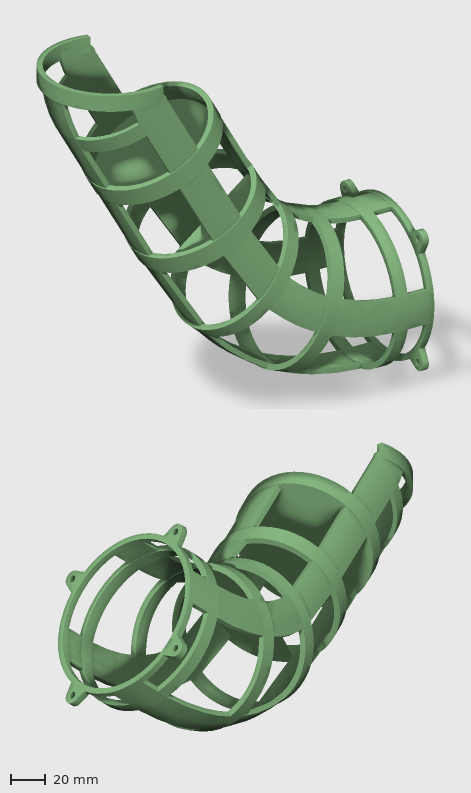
import cadquery as cq
import math

BASE_RADIUS = 50.3
LOWER_RADIUS = 48.5
UPPER_RADIUS = 44.4
NECK_RADIUS = 42.3
HOOP_THICKNESS = 3.5
BASE_STRIP_RADIUS = 50.375
TOP_STRIP_DROP = 0.4
LOWER_STRIP_RADIUS = 48.2
UPPER_STRIP_RADIUS = 43.8
NECK_STRIP_RADIUS = 41.7
STRIP_THICKNESS = 3.0
STRIP_WIDTH = 21.8
COLLAR_STRIP_WIDTH = 20.6

FLANGE_THICKNESS = 4.3
LUG_RADIUS = 5.2
LUG_PITCH_RADIUS = 55.5
LUG_ROOT_WIDTH = 15.0
LUG_HOLE_DIAMETER = 4.2
LUG_ANGLES = (45, 135, 225, 315)

NECK_TILT = 60.0
FIRST_HOOP_WIDTH = 8.0
FIRST_HOOP_END = 25.3
BEND_HOOP_WIDTH = 9.6
NECK_HOOP_WIDTH = 12.4
HALF_HOOP_WIDTH = 10.0
HALF_HOOP_RADIUS = 41.4
HALF_HOOP_THICKNESS = 2.6
HALF_HOOP_TRIM = -9.0
NECK_HOOP_SPACING = 58.3
HALF_HOOP_OFFSET = 43.5
DISC_THICKNESS = 1.0

COLLAR_HEIGHT = 10.0
COLLAR_TOP = 181.515
COLLAR_FRONT = 231.13


def along_axis(station, distance):
    """Station moved along its own axis, with the same tilt and radii."""
    reach, height, tilt, *radii = station
    angle = math.radians(tilt)
    return (reach + distance * math.cos(angle), height + distance * math.sin(angle), tilt, *radii)


def midway(first, second):
    """Station halfway between two others."""
    return tuple((a + b) / 2 for a, b in zip(first, second))


BASE = (0.0, 0.0, 0.0, BASE_RADIUS, BASE_STRIP_RADIUS)
BEND_LOWER = (68.8, 9.3, NECK_TILT / 3, LOWER_RADIUS, LOWER_STRIP_RADIUS)
BEND_UPPER = (104.2, 33.8, 2 * NECK_TILT / 3, UPPER_RADIUS, UPPER_STRIP_RADIUS)
NECK_START = (131.4, 73.8, NECK_TILT, NECK_RADIUS, NECK_STRIP_RADIUS)
NECK_DISC = along_axis(NECK_START, NECK_HOOP_SPACING)
NECK_HALF = along_axis(NECK_DISC, HALF_HOOP_OFFSET)
COLLAR = (
    COLLAR_FRONT - NECK_RADIUS,
    COLLAR_TOP - COLLAR_HEIGHT / 2,
    90.0,
    NECK_RADIUS,
    NECK_STRIP_RADIUS,
)
NECK_END = along_axis(NECK_HALF, HALF_HOOP_WIDTH / 2)
COLLAR_TURN = midway(NECK_END, COLLAR)

RIGHT, TOP, LEFT, BOTTOM = 0, 90, 180, 270


def raise_strip(station, rise):
    """Same station with the strip surface moved away from the axis."""
    *frame, strip_radius = station
    return (*frame, strip_radius + rise)


def section_plane(station):
    """Plane square to the axis, with local x along X and local y on the top side."""
    reach, height, tilt, *_ = station
    angle = math.radians(tilt)
    return cq.Plane(
        origin=(0, -reach, height),
        xDir=(1, 0, 0),
        normal=(0, -math.cos(angle), math.sin(angle)),
    )


def ring(station, radius, thickness, width):
    """Plain ring of the given width, centred on the station."""
    lower_end = section_plane(along_axis(station, -width / 2))
    return cq.Workplane(lower_end).circle(radius).circle(radius - thickness).extrude(width)


def hoop(station, width):
    """Full-thickness ring at a station's own hoop radius."""
    _, _, _, radius, _ = station
    return ring(station, radius, HOOP_THICKNESS, width)


def strip_section(station, direction, width):
    """Cross-section of a strip: a ring sector with parallel sides."""
    _, _, _, _, outer = station
    inner = outer - STRIP_THICKNESS
    half = width / 2
    outer_side = math.sqrt(outer ** 2 - half ** 2)
    inner_side = math.sqrt(inner ** 2 - half ** 2)
    sketch = (
        cq.Workplane()
        .moveTo(inner_side, -half)
        .lineTo(outer_side, -half)
        .threePointArc((outer, 0), (outer_side, half))
        .lineTo(inner_side, half)
        .threePointArc((inner, 0), (inner_side, -half))
        .close()
        .wire()
        .val()
    )
    turned = sketch.rotate(cq.Vector(0, 0, 0), cq.Vector(0, 0, 1), direction)
    return turned.moved(cq.Location(section_plane(station)))


def strip(stations, direction, end_width=STRIP_WIDTH):
    """Strip lofted through the stations; only the last may differ in width."""
    widths = [STRIP_WIDTH] * (len(stations) - 1) + [end_width]
    wires = [strip_section(s, direction, w) for s, w in zip(stations, widths)]
    return cq.Workplane(cq.Solid.makeLoft(wires))


def flange():
    """Base ring with four tapered screw lugs."""
    ring_plane = section_plane(BASE)
    lug_root = BASE_RADIUS - HOOP_THICKNESS / 2
    slope = math.asin((LUG_ROOT_WIDTH / 2 - LUG_RADIUS) / (LUG_PITCH_RADIUS - lug_root))
    tangent_x = LUG_PITCH_RADIUS + LUG_RADIUS * math.sin(slope)
    tangent_y = LUG_RADIUS * math.cos(slope)
    mid_thickness = along_axis(BASE, FLANGE_THICKNESS / 2)
    body = hoop(mid_thickness, FLANGE_THICKNESS)
    for turn in LUG_ANGLES:
        lug_plane = ring_plane.rotated((0, 0, turn))
        lug = (
            cq.Workplane(lug_plane)
            .moveTo(lug_root, -LUG_ROOT_WIDTH / 2)
            .lineTo(tangent_x, -tangent_y)
            .threePointArc((LUG_PITCH_RADIUS + LUG_RADIUS, 0), (tangent_x, tangent_y))
            .lineTo(lug_root, LUG_ROOT_WIDTH / 2)
            .close()
            .moveTo(LUG_PITCH_RADIUS, 0)
            .circle(LUG_HOLE_DIAMETER / 2)
            .extrude(FLANGE_THICKNESS)
        )
        body = body.union(lug)
    return body


def disc():
    """Plate that closes the lower end of the disc hoop."""
    lower_end = along_axis(NECK_DISC, -NECK_HOOP_WIDTH / 2)
    radius = NECK_RADIUS - HOOP_THICKNESS / 2
    return cq.Workplane(section_plane(lower_end)).circle(radius).extrude(DISC_THICKNESS)


def half_hoop():
    """Lower half of a hoop, running between the two side strips."""
    size = 2 * NECK_RADIUS
    lower_side = (
        cq.Workplane(section_plane(NECK_HALF))
        .center(0, HALF_HOOP_TRIM - size / 2)
        .rect(size, size)
        .extrude(HALF_HOOP_WIDTH, both=True)
    )
    full_hoop = ring(NECK_HALF, HALF_HOOP_RADIUS, HALF_HOOP_THICKNESS, HALF_HOOP_WIDTH)
    return full_hoop.intersect(lower_side)


def collar():
    """Level half ring that runs back past its centre by half a strip width."""
    size = 2 * NECK_RADIUS
    front_side = (
        cq.Workplane(section_plane(COLLAR))
        .center(0, COLLAR_STRIP_WIDTH / 2 - size / 2)
        .rect(size, size)
        .extrude(COLLAR_HEIGHT, both=True)
    )
    return hoop(COLLAR, COLLAR_HEIGHT).intersect(front_side)


def strip_run(direction):
    """All lengths of one strip; the top one stops at the disc hoop."""
    base = raise_strip(BASE, -TOP_STRIP_DROP) if direction == TOP else BASE
    bend_start = along_axis(base, FIRST_HOOP_END)
    neck_end = NECK_DISC if direction == TOP else NECK_END
    lengths = [
        strip([base, bend_start], direction),
        strip([bend_start, BEND_LOWER, BEND_UPPER], direction),
        strip([BEND_UPPER, NECK_START], direction),
        strip([NECK_START, neck_end], direction),
    ]
    if direction != TOP:
        lengths.append(strip([NECK_END, COLLAR_TURN, COLLAR], direction, COLLAR_STRIP_WIDTH))
    return lengths


def build():
    """Join the flange, hoops, disc, collar and strips into one solid."""
    first_hoop = along_axis(BASE, FIRST_HOOP_END - FIRST_HOOP_WIDTH / 2)
    parts = [hoop(first_hoop, FIRST_HOOP_WIDTH), disc(), half_hoop(), collar()]
    for station in (BEND_LOWER, BEND_UPPER):
        parts.append(hoop(station, BEND_HOOP_WIDTH))
    for station in (NECK_START, NECK_DISC):
        parts.append(hoop(station, NECK_HOOP_WIDTH))
    for direction in (RIGHT, TOP, LEFT, BOTTOM):
        parts.extend(strip_run(direction))
    body = flange().val().fuse(*[part.val() for part in parts])
    return cq.Workplane(body)


result = build()